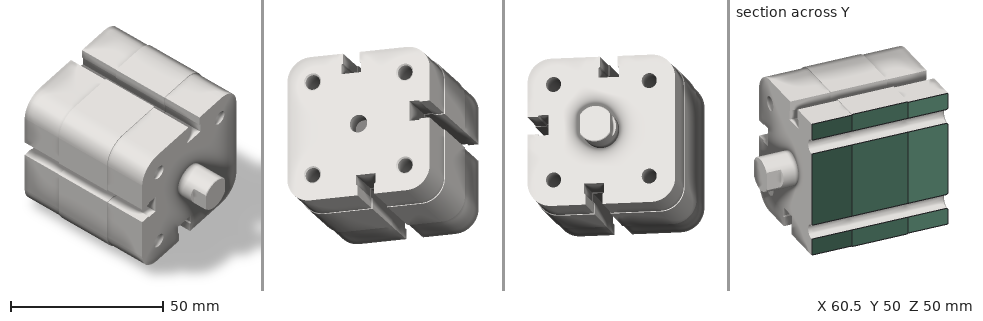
import cadquery as cq
import math

total_length = 60.5
rod_projection = 11.0
cap_length = 14.6
body_length = total_length - rod_projection
barrel_length = body_length - 2 * cap_length

barrel_width = 50.0
cap_inset = 0.25
corner_radius = 8.0

slot_offset = 2.5
slot_mouth_width = 5.3
slot_inner_width = 6.3
slot_depth = 7.0
slot_lip_depth = 3.7
slot_bevel_height = 0.3

mount_hole_diameter = 5.0
mount_hole_pitch = 32.05
mount_hole_chamfer = 0.5

center_hole_diameter = 6.05
center_hole_depth = 6.05

rod_diameter = 12.0
rod_flats_width = 10.0
rod_flats_length = 5.0
flat_runout_angle = 30.0
rod_end_chamfer = 0.25


def slot_cutter(x_start, length, inset):
    """Stepped slot in the +Z face, its side walls and floor set back by the inset."""
    mouth = slot_mouth_width / 2 + inset
    inner = slot_inner_width / 2 + inset
    top_z = barrel_width / 2
    step_z = top_z - slot_lip_depth
    floor_z = top_z - slot_depth - inset
    half_outline = [
        (mouth, top_z),
        (mouth, step_z),
        (inner, step_z - slot_bevel_height),
        (inner, floor_z),
    ]
    mirrored = [(-y, z) for y, z in reversed(half_outline)]
    outline = [(y + slot_offset, z) for y, z in half_outline + mirrored]
    return cq.Workplane("YZ").workplane(offset=x_start).polyline(outline).close().extrude(length)


def slotted_block(x_start, length, inset):
    """Rounded square block with slots in its +Z, -Y and -Z faces and four mounting holes."""
    width = barrel_width - 2 * inset
    block = cq.Workplane("YZ").workplane(offset=x_start).rect(width, width).extrude(length)
    block = block.edges("|X").fillet(corner_radius)

    slot = slot_cutter(x_start, length, inset)
    for angle in (0, 90, 180):
        block = block.cut(slot.rotate((0, 0, 0), (1, 0, 0), angle))

    holes = (
        cq.Workplane("YZ")
        .workplane(offset=x_start)
        .rect(mount_hole_pitch, mount_hole_pitch, forConstruction=True)
        .vertices()
        .circle(mount_hole_diameter / 2)
        .extrude(length)
    )
    return block.cut(holes)


def make_rear_cap():
    """Cap at the -X end with chamfered mounting holes and a blind centring hole."""
    cap = slotted_block(0, cap_length, cap_inset)
    hole_rims = cap.faces("<X").edges("%CIRCLE").edges(cq.selectors.RadiusNthSelector(0))
    cap = hole_rims.chamfer(mount_hole_chamfer)
    center_hole = cq.Workplane("YZ").circle(center_hole_diameter / 2).extrude(center_hole_depth)
    return cap.cut(center_hole)


def make_barrel():
    """Extruded profile between the caps, standing slightly proud of them."""
    return slotted_block(cap_length, barrel_length, 0)


def make_front_cap():
    """Cap at the rod end, with a plain outer face."""
    return slotted_block(cap_length + barrel_length, cap_length, cap_inset)


def make_rod():
    """Chamfered rod standing on the front cap, with two wrench flats facing -Y and +Y."""
    radius = rod_diameter / 2
    rod = cq.Workplane("YZ").workplane(offset=body_length).circle(radius).extrude(rod_projection)
    rod = rod.faces(">X").chamfer(rod_end_chamfer)

    flat_y = rod_flats_width / 2
    flat_start_x = total_length - rod_flats_length
    runout = (radius - flat_y) * math.tan(math.radians(flat_runout_angle))
    flat_outline = [
        (total_length, flat_y),
        (flat_start_x, flat_y),
        (flat_start_x - runout, radius),
        (total_length, radius),
    ]
    flat = cq.Workplane("XY").polyline(flat_outline).close().extrude(radius, both=True)
    return rod.cut(flat).cut(flat.mirror("XZ"))


rear_cap = make_rear_cap()
barrel = make_barrel()
front_cap = make_front_cap()
rod = make_rod()

result = cq.Compound.makeCompound([rear_cap.val(), barrel.val(), front_cap.val(), rod.val()])